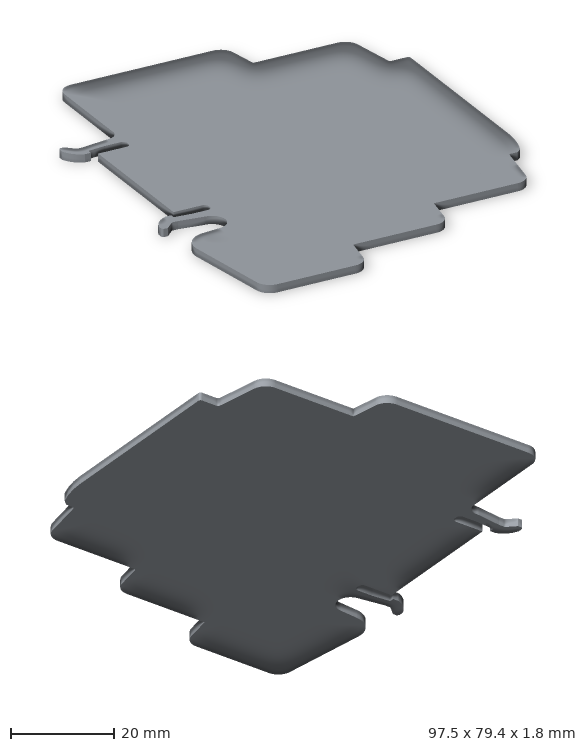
import cadquery as cq
import math

length = 97.5
height = 79.4
thickness = 1.8
corner_radius = 3.1

body_bottom = 12.9
body_width = 89.1
center_x = body_width / 2
shoulder_slope = math.tan(math.radians(10))
middle_half_width = 36.0
top_half_width = 23.8
upper_step_y = 75.0
middle_step_y = 51.6
lower_step_y = 29.0
top_corner_radius = 0.5

crown_start_x = 60.4
crown_middle = (64.5, 78.9)
crown_end = (67.4, 78.0)
crown_side_y = 76.9

lobe_right_y = 4.9
lobe_slope = 0.15
lobe_left_x = 71.0
lobe_radius = 4.9
arch_radius = 2.9
arch_center_y = body_bottom - arch_radius

foot_half_width = 15.0
foot_bottom = 5.7
slot_width = 2.3
slot_top_radius = 0.9

clip_inner = foot_half_width + slot_width
clip_outer_top = 19.7
clip_root_radius = 2.4
clip_neck = 18.9
clip_neck_radius = 0.5
clip_neck_top_y = 4.5
clip_neck_bottom_y = 3.1
clip_tip = 20.7
clip_tip_y = 1.3
clip_tip_corner_y = 0.3
clip_tip_flat = (20.2, 19.2)
clip_bend_y = 8.5
barb_inner = 16.0
barb_root = 17.0
barb_top_y = 4.6
barb_bottom_y = 3.3
barb_arc_middle = (17.1, 1.5)

left_middle_x = center_x - middle_half_width
right_middle_x = center_x + middle_half_width
left_top_x = center_x - top_half_width
right_top_x = center_x + top_half_width


def extrude(profile):
    return profile.close().extrude(thickness)


def round_corners(solid, points, radius):
    """Round the plate's vertical edges at the given XY points."""
    for x, y in points:
        edge = cq.selectors.NearestToPointSelector((x, y, thickness / 2))
        solid = solid.edges("|Z").edges(edge).fillet(radius)
    return solid


def make_body():
    middle_side_y = upper_step_y - shoulder_slope * (left_top_x - left_middle_x)
    outer_side_y = middle_step_y - shoulder_slope * left_middle_x
    lobe_top_y = lower_step_y - shoulder_slope * (length - body_width)
    lobe_bottom_y = lobe_right_y - lobe_slope * (length - lobe_left_x)
    arch_left_x = center_x + clip_outer_top
    arch_right_x = arch_left_x + 2 * arch_radius

    body = extrude(
        cq.Workplane("XY")
        .moveTo(0, body_bottom)
        .lineTo(0, outer_side_y)
        .lineTo(left_middle_x, middle_step_y)
        .lineTo(left_middle_x, middle_side_y)
        .lineTo(left_top_x, upper_step_y)
        .lineTo(left_top_x, height)
        .lineTo(crown_start_x, height)
        .threePointArc(crown_middle, crown_end)
        .lineTo(right_top_x, crown_side_y)
        .lineTo(right_top_x, upper_step_y)
        .lineTo(right_middle_x, middle_side_y)
        .lineTo(right_middle_x, middle_step_y)
        .lineTo(body_width, outer_side_y)
        .lineTo(body_width, lower_step_y)
        .lineTo(length, lobe_top_y)
        .lineTo(length, lobe_right_y)
        .lineTo(lobe_left_x, lobe_bottom_y)
        .lineTo(arch_right_x, arch_center_y)
        .threePointArc((arch_left_x + arch_radius, body_bottom), (arch_left_x, arch_center_y))
        .lineTo(arch_left_x, body_bottom)
    )
    large_corners = [
        (0, body_bottom),
        (0, outer_side_y),
        (left_middle_x, middle_side_y),
        (right_middle_x, middle_side_y),
        (body_width, outer_side_y),
        (length, lobe_top_y),
        (length, lobe_right_y),
    ]
    small_corners = [
        (left_top_x, height),
        (left_top_x, upper_step_y),
        (right_top_x, upper_step_y),
        (right_top_x, crown_side_y),
    ]
    body = round_corners(body, large_corners, corner_radius)
    body = round_corners(body, small_corners, top_corner_radius)
    return round_corners(body, [(lobe_left_x, lobe_bottom_y)], lobe_radius)


def make_foot():
    return (
        cq.Workplane("XY")
        .rect(2 * foot_half_width, 2 * (body_bottom - foot_bottom))
        .extrude(thickness)
        .translate((center_x, body_bottom, 0))
    )


def make_clip(side):
    """Build one hooked clip; side is -1 for left and 1 for right."""

    def at(offset, y):
        return (center_x + side * offset, y)

    clip = extrude(
        cq.Workplane("XY")
        .moveTo(*at(clip_inner, body_bottom))
        .lineTo(*at(clip_outer_top, body_bottom))
        .lineTo(*at(clip_outer_top, arch_center_y))
        .lineTo(*at(clip_neck, clip_neck_top_y))
        .lineTo(*at(clip_neck, clip_neck_bottom_y))
        .lineTo(*at(clip_tip, clip_tip_y))
        .lineTo(*at(clip_tip, clip_tip_corner_y))
        .lineTo(*at(clip_tip_flat[0], 0))
        .lineTo(*at(clip_tip_flat[1], 0))
        .threePointArc(at(*barb_arc_middle), at(barb_inner, barb_bottom_y))
        .lineTo(*at(barb_inner, barb_top_y))
        .lineTo(*at(barb_root, barb_top_y))
        .lineTo(*at(clip_inner, clip_bend_y))
    )
    neck_corners = [at(clip_neck, clip_neck_top_y), at(clip_neck, clip_neck_bottom_y)]
    return round_corners(clip, neck_corners, clip_neck_radius)


plate = make_body().union(make_foot())
for clip_side in (-1, 1):
    plate = plate.union(make_clip(clip_side))

slot_corners = []
for clip_side in (-1, 1):
    slot_corners.append((center_x + clip_side * foot_half_width, body_bottom))
    slot_corners.append((center_x + clip_side * clip_inner, body_bottom))
plate = round_corners(plate, slot_corners, slot_top_radius)
plate = round_corners(plate, [(center_x - clip_outer_top, body_bottom)], clip_root_radius)

result = plate